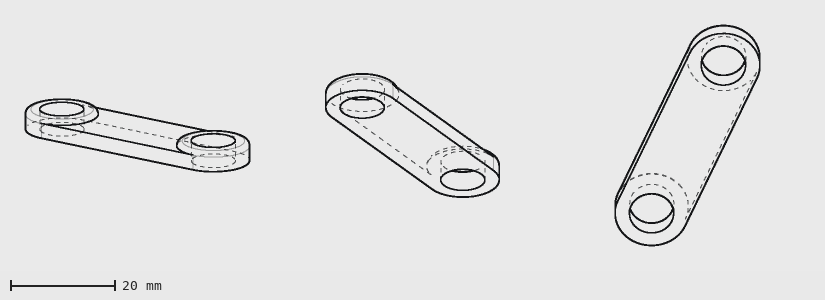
import cadquery as cq
import math

length = 49.0
width = 14.0
height = 4.0
hole_diameter = 8.5

end_radius = width / 2
hole_spacing = length - width
boss_rise = height / 4
plate_thickness = height - boss_rise
rim_radius = end_radius - boss_rise


def link_plate():
    """Flat link with semicircular ends, resting on Z = 0."""
    return cq.Workplane("XY").slot2D(length, width).extrude(plate_thickness)


def rounded_boss(center_x):
    """Disc above one end of the plate, rounded from the plate face to its rim."""
    arc_offset = boss_rise * math.sqrt(0.5)
    profile = (
        cq.Workplane("XZ")
        .lineTo(end_radius, 0)
        .lineTo(end_radius, plate_thickness)
        .threePointArc(
            (rim_radius + arc_offset, plate_thickness + arc_offset),
            (rim_radius, height),
        )
        .lineTo(0, height)
        .close()
    )
    boss = profile.revolve(360, (0, 0, 0), (0, 1, 0))
    return boss.translate((center_x, 0, 0))


def through_hole(center_x):
    """Cutter for the bore through one boss and the plate."""
    return cq.Workplane("XY").center(center_x, 0).circle(hole_diameter / 2).extrude(height)


hole_centers = (-hole_spacing / 2, hole_spacing / 2)
result = link_plate()
for center_x in hole_centers:
    result = result.union(rounded_boss(center_x)).cut(through_hole(center_x))